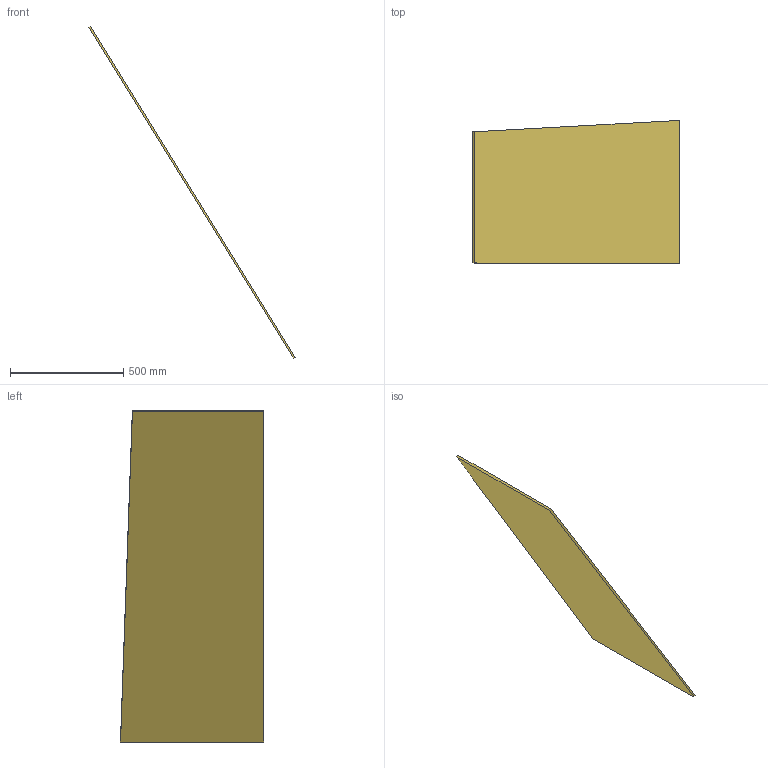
import cadquery as cq
import math

SIZE_X = 912.38
SIZE_Z = 1467.74

THICKNESS = 10.0
LOWER_WIDTH = 632.82
UPPER_WIDTH = 579.7
END_BEVEL = 5.8

BEVEL_OFFSET = THICKNESS / 2 * math.tan(math.radians(END_BEVEL))

DIAGONAL = math.hypot(SIZE_X, SIZE_Z)
DIAGONAL_ANGLE = math.atan2(SIZE_Z, SIZE_X)
REFINEMENTS = 10


def tilt_angle():
    """Angle of the panel from horizontal, in radians, by repeated substitution."""
    angle = DIAGONAL_ANGLE
    for _ in range(REFINEMENTS):
        angle = DIAGONAL_ANGLE - math.asin(THICKNESS * math.cos(2 * angle) / DIAGONAL)
    return angle


TILT = tilt_angle()
MID_LENGTH = (SIZE_X - THICKNESS * math.sin(TILT)) / math.cos(TILT)
BOTTOM_START = BEVEL_OFFSET
BOTTOM_END = MID_LENGTH - BEVEL_OFFSET
TOP_START = -BEVEL_OFFSET
TOP_END = MID_LENGTH + BEVEL_OFFSET


def bevelled_strip():
    """Flat strip of full width with both ends leaning out toward its top face."""
    profile = [
        (BOTTOM_START, 0),
        (BOTTOM_END, 0),
        (TOP_END, THICKNESS),
        (TOP_START, THICKNESS),
    ]
    return cq.Workplane("XZ").polyline(profile).close().extrude(-LOWER_WIDTH)


def tilted(panel):
    """Swing a flat panel down from its upper end, to fill X from 0 to SIZE_X and Z from 0 to SIZE_Z."""
    swung = panel.rotate((0, 0, 0), (0, 1, 0), math.degrees(TILT))
    left_edge = BOTTOM_START * math.cos(TILT)
    lowest_edge = -BOTTOM_END * math.sin(TILT)
    return swung.translate((-left_edge, 0, -lowest_edge))


def taper_prism():
    """Upright prism whose slanted +Y wall trims the panel narrower toward its upper end."""
    outline = [
        (0, 0),
        (SIZE_X, 0),
        (SIZE_X, LOWER_WIDTH),
        (0, UPPER_WIDTH),
    ]
    return cq.Workplane("XY").polyline(outline).close().extrude(SIZE_Z)


result = tilted(bevelled_strip()).intersect(taper_prism())